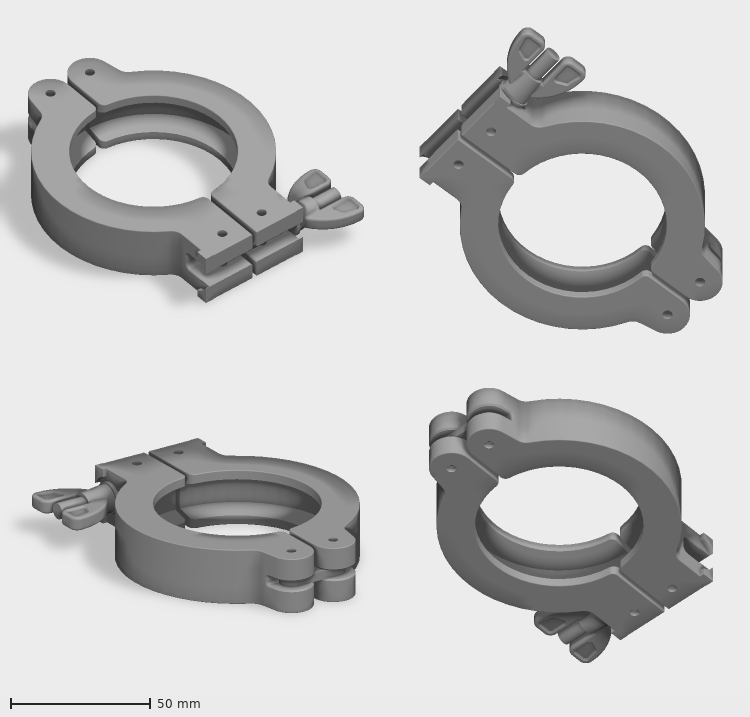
import cadquery as cq
import math


thickness = 21.0
outer_radius = 44.0
bore_radius = 30.2
groove_radius = 37.8
lip_height = 3.5
groove_angle = 15.0
half_gap = 1.0
neck_fillet = 4.8
gap_corner_fillet = 2.4
edge_fillet = 0.4

clearance = 1.2

pivot_y = 9.1
hinge_x = -47.6
pin_radius = 1.8
pin_recess = 3.3

knuckle_radius = pivot_y - half_gap
knuckle_slope = 10.0
knuckle_root_x = -36.3
link_thickness = 3.4
link_radius = 4.5
hinge_slot_end = -44.7
hinge_slot_corner = 1.0
hinge_slot_chamfer = 0.6

bolt_x = 50.5
block_root_x = 30.2
block_end_x = 57.7
block_face_y = 20.7
bolt_slot_width = 7.3
bolt_slot_end = 44.1
bolt_slot_corner = 1.9
bolt_slot_chamfer = 0.4
stop_x = 52.7
stop_height = 1.7
seat_radius = 7.9

bolt_radius = 3.0
bolt_flat_width = 5.7
bolt_flat_end = 0.2
bolt_tip_y = 43.5

flange_radius = 6.0
flange_height = 1.5
nut_base_radius = 5.5
nut_top_radius = 4.4
nut_top_y = 32.6

wing_thickness = 5.1
wing_fillet = 1.0
wing_buried = 1.2
wing_root = 3.7
wing_root_y = 24.2
wing_inner_y = 32.5
wing_inner = 4.4
wing_outer = 14.6
wing_top_y = 46.0
wing_corner = 3.0

pocket_border = 2.2
pocket_depth = 0.7
pocket_wall_angle = 45.0
pocket_corner = 0.8
pocket_low_y = 36.3
pocket_rise = 1.8
pocket_lean = 1.5


def block(x_min, x_max, y_min, y_max, height):
    """Box given by its plan limits, centred on Z = 0."""
    box = cq.Workplane("XY").box(x_max - x_min, y_max - y_min, height)
    return box.translate(((x_min + x_max) / 2, (y_min + y_max) / 2, 0))


def plan_cylinder(x, y, radius, height):
    """Cylinder along Z, centred on Z = 0."""
    return cq.Workplane("XY").center(x, y).circle(radius).extrude(height / 2, both=True)


def bolt_axis_cylinder(radius, y_min, y_max):
    """Cylinder along the bolt axis between two Y positions."""
    plane = cq.Plane(origin=(bolt_x, y_min, 0), xDir=(1, 0, 0), normal=(0, 1, 0))
    return cq.Workplane(plane).circle(radius).extrude(y_max - y_min)


def knuckle():
    """Rounded hinge ear whose outer flank slopes up into the ring."""
    slope = math.radians(knuckle_slope)
    tangent_x = hinge_x - knuckle_radius * math.sin(slope)
    tangent_y = pivot_y + knuckle_radius * math.cos(slope)
    root_y = tangent_y + (knuckle_root_x - tangent_x) * math.tan(slope)
    return (
        cq.Workplane("XY")
        .moveTo(hinge_x, half_gap)
        .threePointArc((hinge_x - knuckle_radius, pivot_y), (tangent_x, tangent_y))
        .lineTo(knuckle_root_x, root_y)
        .lineTo(knuckle_root_x, half_gap)
        .close()
        .extrude(thickness / 2, both=True)
    )


def half_blank():
    """Half ring with knuckle and bolt block, corners blended and rims rounded."""
    reach = outer_radius + clearance
    blank = plan_cylinder(0, 0, outer_radius, thickness)
    blank = blank.intersect(block(-reach, reach, half_gap, reach, thickness))
    blank = blank.union(knuckle())
    blank = blank.union(block(block_root_x, block_end_x, half_gap, block_face_y, thickness))
    blank = blank.cut(plan_cylinder(0, 0, bore_radius, thickness))

    neck_zone = cq.selectors.BoxSelector(
        (knuckle_root_x - neck_fillet, block_face_y - neck_fillet, -thickness),
        (outer_radius, outer_radius, thickness),
    )
    bore_zone = cq.selectors.BoxSelector(
        (-bore_radius, 0, -thickness), (bore_radius, 2 * half_gap, thickness)
    )
    vertical = cq.StringSyntaxSelector("|Z")
    blank = blank.edges(vertical & neck_zone).fillet(neck_fillet)
    blank = blank.edges(vertical & bore_zone).fillet(gap_corner_fillet)
    return blank.faces("|Z").edges().fillet(edge_fillet)


def flange_groove():
    """Ring groove with tapered flanks that wedges two pipe flanges together."""
    mouth = thickness / 2 - lip_height
    depth = groove_radius - bore_radius
    floor = mouth - depth * math.tan(math.radians(groove_angle))
    start = bore_radius - clearance
    return (
        cq.Workplane("XZ")
        .polyline(
            [
                (start, -mouth),
                (bore_radius, -mouth),
                (groove_radius, -floor),
                (groove_radius, floor),
                (bore_radius, mouth),
                (start, mouth),
            ]
        )
        .close()
        .revolve(360, (0, 0, 0), (0, 1, 0))
    )


def cut_slot(body, x_min, x_max, end, width, corner, chamfer):
    """Slot along Y with rounded corners at one X end and chamfered mouths."""
    slot = block(x_min, x_max, 0, outer_radius, width)
    slot = slot.edges("|Y").edges(end).fillet(corner)
    body = body.cut(slot)
    reach = width / 2 + chamfer
    zone = cq.selectors.BoxSelector(
        (x_min - clearance, 0, -reach), (x_max + clearance, outer_radius, reach)
    )
    mouth = zone - cq.StringSyntaxSelector("|Y")
    return body.edges(mouth).chamfer(chamfer)


def bolt_stop():
    """End stop on the bolt block, hollowed around the bolt and split by the slot."""
    top = block_face_y + stop_height
    stop = block(stop_x, block_end_x, block_face_y - stop_height, top, thickness)
    stop = stop.cut(bolt_axis_cylinder(seat_radius, block_face_y, top))
    return stop.cut(block(bolt_slot_end, block_end_x, 0, top, bolt_slot_width))


def clamp_half():
    """Rear half with groove, slots, end stop and pin holes."""
    half = half_blank().cut(flange_groove())
    knuckle_end = hinge_x - knuckle_radius
    half = cut_slot(
        half,
        knuckle_end - clearance,
        hinge_slot_end,
        ">X",
        link_thickness,
        hinge_slot_corner,
        hinge_slot_chamfer,
    )
    half = cut_slot(
        half,
        bolt_slot_end,
        block_end_x + clearance,
        "<X",
        bolt_slot_width,
        bolt_slot_corner,
        bolt_slot_chamfer,
    )
    half = half.union(bolt_stop())
    for x in (hinge_x, bolt_x):
        half = half.cut(plan_cylinder(x, pivot_y, pin_radius, thickness))
    return half


def hinge_link():
    """Flat link with round ends joining the two knuckles."""
    link = block(hinge_x - link_radius, hinge_x + link_radius, -pivot_y, pivot_y, link_thickness)
    for y in (-pivot_y, pivot_y):
        link = link.union(plan_cylinder(hinge_x, y, link_radius, link_thickness))
    return link


def pivot_pin(x, y):
    """Pin sunk below both faces of the clamp."""
    return plan_cylinder(x, y, pin_radius, thickness - 2 * pin_recess)


def swing_bolt():
    """Round rod with two flats around its pivot."""
    foot_y = -pivot_y - bolt_radius
    rod = bolt_axis_cylinder(bolt_radius, bolt_flat_end, bolt_tip_y)
    foot = bolt_axis_cylinder(bolt_radius, foot_y, bolt_flat_end)
    flats = block(bolt_x - bolt_radius, bolt_x + bolt_radius, foot_y, bolt_flat_end, bolt_flat_width)
    return rod.union(foot.intersect(flats))


def wing():
    """Right wing of the nut, with a shallow sloped pocket on both faces."""
    inner_x = bolt_x + wing_inner
    outer_x = bolt_x + wing_outer
    shoulder_y = wing_top_y - wing_corner
    blade = (
        cq.Workplane("XY")
        .moveTo(bolt_x + wing_buried, wing_inner_y)
        .lineTo(inner_x, wing_inner_y)
        .lineTo(inner_x, shoulder_y)
        .tangentArcPoint((inner_x + wing_corner, wing_top_y), relative=False)
        .lineTo(outer_x - wing_corner, wing_top_y)
        .tangentArcPoint((outer_x, shoulder_y), relative=False)
        .tangentArcPoint((bolt_x + wing_root, wing_root_y), relative=False)
        .lineTo(bolt_x + wing_buried, wing_root_y)
        .close()
        .extrude(wing_thickness / 2, both=True)
        .faces("|Z")
        .edges()
        .fillet(wing_fillet)
    )
    floor_z = wing_thickness / 2 - pocket_depth
    floor_left = inner_x + pocket_border
    floor_right = outer_x - pocket_border
    floor_top = wing_top_y - pocket_border
    floor = (
        cq.Sketch()
        .polygon(
            [
                (floor_left, pocket_low_y),
                (floor_left, floor_top),
                (floor_right, floor_top),
                (floor_right - pocket_lean, pocket_low_y + pocket_rise),
                (floor_left, pocket_low_y),
            ]
        )
        .vertices()
        .fillet(pocket_corner)
    )
    pocket = cq.Workplane("XY", origin=(0, 0, floor_z)).placeSketch(floor)
    pocket = pocket.extrude(pocket_depth, taper=-pocket_wall_angle)
    return blade.cut(pocket).cut(pocket.mirror("XY"))


def wing_nut():
    """Flanged, tapered nut with two wings, seated on the rear bolt block."""
    flange_top = block_face_y + flange_height
    flange = bolt_axis_cylinder(flange_radius, block_face_y, flange_top)
    body = cq.Solid.makeCone(
        nut_base_radius,
        nut_top_radius,
        nut_top_y - flange_top,
        pnt=cq.Vector(bolt_x, flange_top, 0),
        dir=cq.Vector(0, 1, 0),
    )
    right_wing = wing()
    left_wing = right_wing.mirror("YZ", (bolt_x, 0, 0))
    return flange.union(cq.Workplane(body)).union(right_wing).union(left_wing)


rear_half = clamp_half()
front_half = rear_half.mirror("XZ")
result = rear_half.union(front_half).union(hinge_link())
result = result.union(swing_bolt()).union(wing_nut())
for pin_x, pin_y in ((hinge_x, pivot_y), (hinge_x, -pivot_y), (bolt_x, -pivot_y)):
    result = result.union(pivot_pin(pin_x, pin_y))